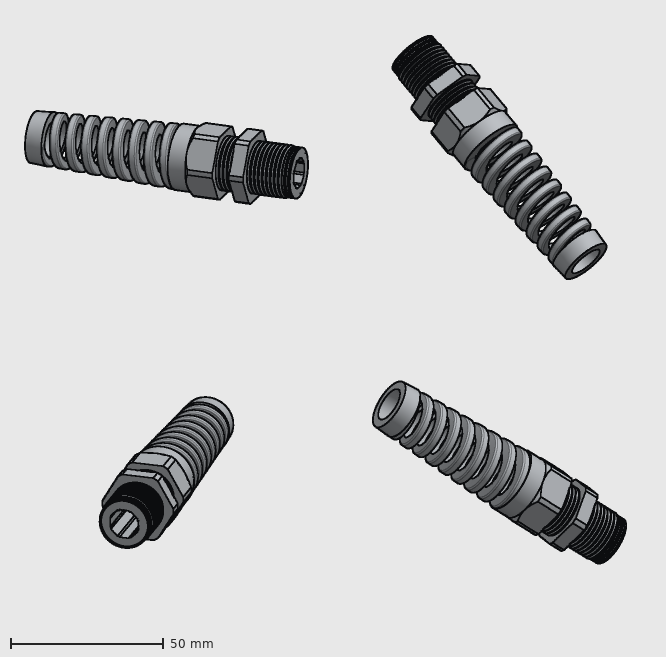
import cadquery as cq
import math


end_ring_length = 5.9
collar_start = 51.0
hex_start = 57.1
cap_end = 67.1
flange_start = 72.95
flange_end = 77.9
total_length = 92.96

across_flats = 22.1
across_corners = 24.52
hex_point_diameter = across_flats / math.cos(math.radians(30))
collar_radius = across_flats / 2
hex_bevel = across_corners / 2 - collar_radius

cap_bore_radius = 5.73
tip_radius = 8.65
end_ring_radius = 9.07
coil_base_radius = 8.72
cone_slope = 0.0425
coil_pitch = 5.6
coil_width = 2.78
coil_edge_radius = 0.5
spiral_bore_radius = 6.4
coil_top_station = 8.78
coil_start = 4.1
coil_end = 53.0

cap_shoulder_length = 3.0
body_start = collar_start + cap_shoulder_length

thread_pitch = 1.4
thread_crest_width = 0.3
thread_root_width = 0.1
cap_thread_radius = 9.1
cap_thread_root = 8.3
cap_thread_first_root = 67.7
entry_thread_radius = 8.82
entry_thread_root = 8.0
entry_thread_first_root = 78.55
entry_lead_radius = 8.5
entry_lead_length = 3.1

passage_sides = 8
passage_flat_radius = 4.87
passage_corner_radius = passage_flat_radius / math.cos(math.pi / passage_sides)
bead_radius = 0.42


def revolve_about_x(points):
    outline = cq.Workplane("XZ").polyline(points).close()
    return outline.revolve(360, (0, 0, 0), (1, 0, 0))


def cylinder(start, end, radius):
    return revolve_about_x([(start, 0), (start, radius), (end, radius), (end, 0)])


def cone_radius(station):
    return coil_base_radius + cone_slope * station


def hexagon(start, end):
    """Hexagon with flats on top and bottom and its corners turned down."""
    prism = cq.Workplane("YZ", origin=(start, 0, 0)).polygon(6, hex_point_diameter).extrude(end - start)
    return prism.intersect(cylinder(start, end, across_corners / 2))


def spiral():
    """Tapered right-handed coil whose ends sink into the end ring and the collar."""
    start_angle = 90 + 360 * (coil_start - coil_top_station) / coil_pitch
    radius = cone_radius(coil_start)
    half = coil_width / 2
    flat = half - coil_edge_radius
    rise = cone_slope * flat
    root = spiral_bore_radius - cone_slope * (coil_end - coil_start)
    low_shoulder = radius - rise - coil_edge_radius
    high_shoulder = radius + rise - coil_edge_radius
    bulge = coil_edge_radius * math.cos(math.radians(45))
    path = cq.Wire.makeHelix(
        coil_pitch, coil_end - coil_start, radius, angle=math.degrees(math.atan(cone_slope))
    )
    profile = (
        cq.Workplane("XZ")
        .moveTo(root, -half)
        .lineTo(low_shoulder, -half)
        .threePointArc((low_shoulder + bulge, -flat - bulge), (radius - rise, -flat))
        .lineTo(radius + rise, flat)
        .threePointArc((high_shoulder + bulge, flat + bulge), (high_shoulder, half))
        .lineTo(root, half)
        .close()
    )
    coil = profile.sweep(cq.Workplane(path), isFrenet=True)
    coil = coil.rotate((0, 0, 0), (1, 1, 1), 120)
    return coil.rotate((0, 0, 0), (1, 0, 0), start_angle).translate((coil_start, 0, 0))


def thread_rings(start, end, first_root, root, crest):
    """Threaded length between start and end, made by cutting V grooves into a crest cylinder."""
    thread = cylinder(start, end, crest)
    mouth = (thread_pitch - thread_crest_width) / 2
    count = math.ceil((end - first_root) / thread_pitch)
    for index in range(count):
        middle = first_root + index * thread_pitch
        groove = revolve_about_x([
            (middle - mouth, crest),
            (middle - thread_root_width / 2, root),
            (middle + thread_root_width / 2, root),
            (middle + mouth, crest),
        ])
        thread = thread.cut(groove)
    return thread


def spiral_cap():
    end_ring = revolve_about_x([
        (0, 0),
        (0, tip_radius),
        (end_ring_length, end_ring_radius),
        (end_ring_length, 0),
    ])
    collar = cylinder(collar_start, hex_start, collar_radius)
    bevel = revolve_about_x([
        (hex_start, 0),
        (hex_start, collar_radius),
        (hex_start + hex_bevel, across_corners / 2),
        (cap_end, across_corners / 2),
        (cap_end, 0),
    ])
    nut = hexagon(hex_start, cap_end).intersect(bevel)
    hollow = cylinder(end_ring_length, collar_start, spiral_bore_radius)
    cap = end_ring.union(collar.union(nut)).union(spiral()).cut(hollow)
    cap = cap.cut(cylinder(0, cap_end, cap_bore_radius))
    return cap.cut(cylinder(body_start, cap_end, cap_thread_radius))


def passage():
    octagon = (
        cq.Workplane("YZ", origin=(body_start, 0, 0))
        .transformed(rotate=(0, 0, 180 / passage_sides))
        .polygon(passage_sides, 2 * passage_corner_radius)
        .extrude(total_length - body_start)
    )
    beads = (
        cq.Workplane("YZ", origin=(body_start, 0, 0))
        .polarArray(passage_corner_radius, 180 / passage_sides, 360, passage_sides)
        .circle(bead_radius)
        .extrude(total_length - body_start)
    )
    return octagon.cut(beads)


def gland_body():
    spigot = cylinder(body_start, cap_end, cap_thread_radius)
    cap_thread = thread_rings(
        cap_end, flange_start, cap_thread_first_root, cap_thread_root, cap_thread_radius
    )
    flange = hexagon(flange_start, flange_end)
    entry_thread = thread_rings(
        flange_end, total_length, entry_thread_first_root, entry_thread_root, entry_thread_radius
    )
    lead = (
        cylinder(total_length - entry_lead_length, total_length, entry_thread_radius)
        .cut(cylinder(total_length - entry_lead_length, total_length, entry_lead_radius))
    )
    body = spigot.union(cap_thread).union(flange).union(entry_thread)
    return body.cut(lead).cut(passage())


cap = spiral_cap()
body = gland_body()
result = cq.Compound.makeCompound([cap.val(), body.val()])